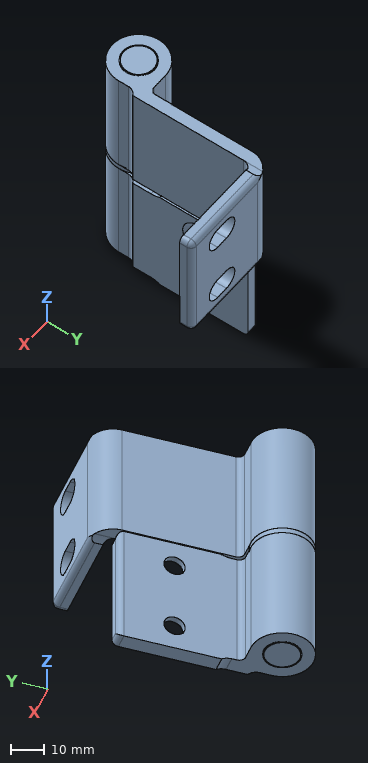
import cadquery as cq
import math

total_height = 84.0
barrel_radius = 10.0
barrel_height = 40.1
washer_height = 1.85
pin_radius = 5.9
pin_chamfer = 0.3

plate_height = 41.75
outer_lip = (total_height - 2 * barrel_height - washer_height) / 2
inner_lip = plate_height - barrel_height - outer_lip
lip_run = 3.2
edge_round = 2.0

web_inner_x = 12.0
upper_web = 4.4
lower_web = 5.2
web_fillet = 2.0
web_notch_y = 6.7
notch_radius = 3.4
notch_depth = web_inner_x - barrel_radius
notch_drop = math.sqrt(notch_radius**2 - (notch_radius - notch_depth) ** 2)

flange_end_x = 48.4
flange_back_y = 56.45
flange_thickness = 4.8
bend_outer_radius = 8.1
bend_inner_radius = 3.4
slot_length = 12.8
slot_width = 8.4
slot_x = 33.5

lower_plate_end_y = 50.1
lower_lip_start_y = 13.7
hole_diameter = 6.7
countersink_diameter = 12.8
countersink_depth = (countersink_diameter - hole_diameter) / 2
hole_y = 31.9
fixing_pitch = 24.0

lower_barrel_z = outer_lip
washer_z = lower_barrel_z + barrel_height
upper_barrel_z = washer_z + washer_height
upper_barrel_top = upper_barrel_z + barrel_height
upper_plate_z = total_height - plate_height
margin = 4.2


def prism(outline, bottom, height):
    """Extrude a closed outline drawn in plan."""
    return outline.close().extrude(height).translate((0, 0, bottom))


def barrel_and_root(web_outer_x, bottom):
    """Barrel with a square shoulder, filleted into the start of the web."""
    root_y = barrel_radius + web_fillet
    diagonal = math.sqrt(0.5)
    outline = (
        cq.Workplane("XY")
        .moveTo(0, barrel_radius)
        .lineTo(web_outer_x - web_fillet, barrel_radius)
        .radiusArc((web_outer_x, root_y), -web_fillet)
        .lineTo(web_inner_x, root_y)
        .lineTo(web_inner_x, web_notch_y)
        .radiusArc((barrel_radius, web_notch_y - notch_drop), -notch_radius)
        .lineTo(barrel_radius, 0)
        .threePointArc(
            (-barrel_radius * diagonal, -barrel_radius * diagonal),
            (0, barrel_radius),
        )
    )
    return prism(outline, bottom, barrel_height)


def pin_bore():
    return cq.Workplane("XY").circle(pin_radius).extrude(total_height)


def lip_side(plane, start, end, bottom, top, low_lip, high_lip, depth):
    """Side shape of a plate whose top and bottom flare out in tangent arcs."""
    high_radius = (lip_run**2 + high_lip**2) / (2 * high_lip)
    low_radius = (lip_run**2 + low_lip**2) / (2 * low_lip)
    flare_end = start + lip_run
    return (
        cq.Workplane(plane)
        .moveTo(-barrel_radius, bottom + low_lip)
        .lineTo(start, bottom + low_lip)
        .radiusArc((flare_end, bottom), low_radius)
        .lineTo(end, bottom)
        .lineTo(end, top)
        .lineTo(flare_end, top)
        .radiusArc((start, top - high_lip), high_radius)
        .lineTo(-barrel_radius, top - high_lip)
        .close()
        .extrude(depth)
    )


def fixing_heights(plate_bottom):
    middle = plate_bottom + plate_height / 2
    return [middle - fixing_pitch / 2, middle + fixing_pitch / 2]


def make_upper_leaf():
    web_outer_x = web_inner_x - upper_web
    flange_front_y = flange_back_y - flange_thickness
    bend_inner_x = web_inner_x + bend_inner_radius
    outline = (
        cq.Workplane("XY")
        .moveTo(web_outer_x, barrel_radius + web_fillet)
        .lineTo(web_outer_x, flange_back_y - bend_outer_radius)
        .radiusArc((web_outer_x + bend_outer_radius, flange_back_y), bend_outer_radius)
        .lineTo(flange_end_x, flange_back_y)
        .lineTo(flange_end_x, flange_front_y)
        .lineTo(bend_inner_x, flange_front_y)
        .radiusArc((web_inner_x, flange_front_y - bend_inner_radius), -bend_inner_radius)
        .lineTo(web_inner_x, barrel_radius + web_fillet)
    )
    plate = prism(outline, upper_plate_z, plate_height)

    envelope = lip_side(
        "XZ", web_inner_x, flange_end_x, upper_plate_z, total_height,
        inner_lip, outer_lip, flange_back_y,
    ).translate((0, flange_back_y, 0))
    rounded_block = (
        cq.Workplane("XY")
        .box(flange_end_x + margin, flange_back_y, plate_height, centered=False)
        .translate((-margin, 0, upper_plate_z))
        .edges("|Y and >X")
        .fillet(edge_round)
        .faces(">Y")
        .edges("not <X")
        .fillet(edge_round)
    )
    plate = plate.intersect(envelope).intersect(rounded_block)
    leaf = plate.union(barrel_and_root(web_outer_x, upper_barrel_z))
    for height in fixing_heights(upper_plate_z):
        slot = (
            cq.Workplane("XZ")
            .center(slot_x, height)
            .slot2D(slot_length, slot_width)
            .extrude(-flange_back_y - margin)
        )
        leaf = leaf.cut(slot)
    return leaf.cut(pin_bore())


def make_lower_leaf():
    web_outer_x = web_inner_x - lower_web
    plate = (
        lip_side(
            "YZ", lower_lip_start_y, lower_plate_end_y, 0, plate_height,
            outer_lip, inner_lip, lower_web,
        )
        .translate((web_outer_x, 0, 0))
        .edges("|X and >Y")
        .fillet(edge_round)
    )
    root_y = barrel_radius + web_fillet
    beyond_root = (
        cq.Workplane("XY")
        .box(lower_web, lower_plate_end_y - root_y, plate_height, centered=False)
        .translate((web_outer_x, root_y, 0))
        .edges("|Z and <X and >Y")
        .fillet(edge_round)
    )
    plate = plate.intersect(beyond_root)
    leaf = plate.union(barrel_and_root(web_outer_x, lower_barrel_z))
    for height in fixing_heights(0):
        hole = (
            cq.Workplane("YZ")
            .center(hole_y, height)
            .circle(hole_diameter / 2)
            .extrude(web_inner_x + margin)
        )
        countersink = (
            cq.Workplane("YZ", origin=(web_inner_x, hole_y, height))
            .circle(countersink_diameter / 2)
            .workplane(offset=-countersink_depth)
            .circle(hole_diameter / 2)
            .loft()
        )
        leaf = leaf.cut(hole).cut(countersink)
    return leaf.cut(pin_bore())


def make_washer():
    return (
        cq.Workplane("XY", origin=(0, 0, washer_z))
        .circle(barrel_radius)
        .circle(pin_radius)
        .extrude(washer_height)
    )


def make_pin():
    return (
        cq.Workplane("XY", origin=(0, 0, lower_barrel_z))
        .circle(pin_radius)
        .extrude(upper_barrel_top - lower_barrel_z)
        .faces("<Z or >Z")
        .edges()
        .chamfer(pin_chamfer)
    )


upper_leaf = make_upper_leaf()
lower_leaf = make_lower_leaf()
washer = make_washer()
pin = make_pin()

result = cq.Compound.makeCompound([upper_leaf.val(), lower_leaf.val(), washer.val(), pin.val()])